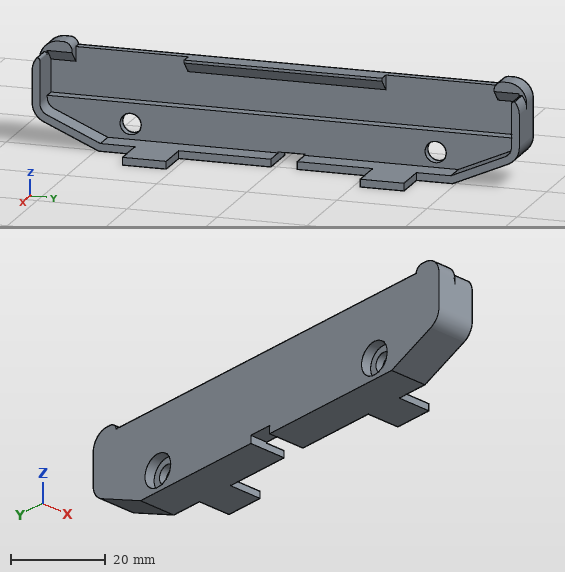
import cadquery as cq
import math

length = 108.2
height = 21.9
plate_thickness = 4.5
body_depth = 9.5
total_depth = 18.0
half_length = length / 2

corner_radius = 4.3
plate_top = 20.2
ear_flat_width = 1.0
ear_inner_radius = 2.0
flat_bottom_half = 39.3
slope_top = 6.5

rim_wall = 1.7
rim_round_start = 16.5
rim_top = 19.3
rim_edge_round = 0.5

tab_width = 9.7
tab_offset = 26.4

notch_width = 5.8
notch_height = 2.0
notch_offset = 1.8

hole_offset = 33.9
hole_height = 5.1
hole_diameter = 4.7
counterbore_diameter = 8.0
counterbore_depth = 2.6

recess_web = 2.0
recess_inner = 22.0
recess_floor = 9.7
lip_thickness = 0.6

ear_flat_end = half_length - corner_radius - ear_flat_width
ear_drop = height - plate_top
ear_inner_end = ear_flat_end - math.sqrt(ear_inner_radius**2 - (ear_inner_radius - ear_drop) ** 2)


def block(x_range, y_range, z_range):
    """Box spanning the given coordinate ranges."""
    sizes = [high - low for low, high in (x_range, y_range, z_range)]
    corner = (x_range[0], y_range[0], z_range[0])
    return cq.Workplane("XY").box(*sizes, centered=False).translate(corner)


def lower_body(depth, top):
    """Full-length prism with sloped lower ends and rounded lower corners."""
    outline = [
        (-half_length, top),
        (-half_length, slope_top),
        (-flat_bottom_half, 0),
        (flat_bottom_half, 0),
        (half_length, slope_top),
        (half_length, top),
    ]
    body = cq.Workplane("YZ").polyline(outline).close().extrude(depth)
    for side in (-1, 1):
        corner = cq.selectors.NearestToPointSelector((depth / 2, side * half_length, slope_top))
        body = body.edges(corner).fillet(corner_radius)
    return body


def ear():
    """Rounded ear at the upper +Y corner of the plate."""
    round_center_y = half_length - corner_radius
    round_center_z = height - corner_radius
    diagonal = corner_radius * math.sqrt(0.5)
    half_angle = math.acos((ear_inner_radius - ear_drop) / ear_inner_radius) / 2
    inner_mid = (
        ear_flat_end - ear_inner_radius * math.sin(half_angle),
        height - ear_inner_radius * (1 - math.cos(half_angle)),
    )
    return (
        cq.Workplane("YZ")
        .moveTo(ear_inner_end, round_center_z)
        .lineTo(half_length, round_center_z)
        .threePointArc(
            (round_center_y + diagonal, round_center_z + diagonal), (round_center_y, height)
        )
        .lineTo(ear_flat_end, height)
        .threePointArc(inner_mid, (ear_inner_end, plate_top))
        .close()
        .extrude(plate_thickness)
    )


def plate():
    """Front plate with an ear at each upper corner."""
    body = lower_body(plate_thickness, height - corner_radius)
    body = body.union(
        block((0, plate_thickness), (-ear_inner_end, ear_inner_end), (slope_top, plate_top))
    )
    return body.union(ear()).union(ear().mirror("XZ"))


def rim():
    """Thin open-topped wall whose upper ends curve inward to a narrow edge."""
    outer = lower_body(body_depth, rim_round_start)
    arc_center_y = half_length - corner_radius
    rise = rim_top - rim_round_start
    end_angle = math.asin(rise / corner_radius)
    arc_points = [
        (
            arc_center_y + corner_radius * math.cos(angle),
            rim_round_start + corner_radius * math.sin(angle),
        )
        for angle in (end_angle / 2, end_angle)
    ]
    tip = (
        cq.Workplane("YZ")
        .moveTo(half_length - rim_wall, rim_round_start)
        .lineTo(half_length, rim_round_start)
        .threePointArc(*arc_points)
        .lineTo(half_length - rim_wall + rim_edge_round, rim_top)
        .radiusArc((half_length - rim_wall, rim_top - rim_edge_round), -rim_edge_round)
        .close()
        .extrude(body_depth)
    )
    open_body = outer.faces(">Z or <X or >X").shell(-rim_wall)
    return open_body.union(tip).union(tip.mirror("XZ"))


def tab(center_y):
    """Flat tab standing out from the rim at floor level."""
    y_range = (center_y - tab_width / 2, center_y + tab_width / 2)
    return block((plate_thickness, total_depth), y_range, (0, rim_wall))


def recess():
    """Cutter for the +Y recess in the back of the plate."""
    return block((recess_web, plate_thickness), (recess_inner, ear_inner_end), (recess_floor, height))


def groove():
    """Cutter for the groove under the lip and the ears, along the back of the plate."""
    lip_bottom = plate_top - lip_thickness
    groove_half = half_length - rim_wall
    profile = [
        (recess_web, recess_floor),
        (plate_thickness, recess_floor),
        (plate_thickness, lip_bottom),
        (recess_web, lip_bottom - (plate_thickness - recess_web)),
    ]
    return cq.Workplane("XZ").polyline(profile).close().extrude(groove_half, both=True)


def screw_hole(center_y):
    """Cutter for a hole counterbored from the front of the plate."""
    face = cq.Workplane("YZ").center(center_y, hole_height)
    bore = face.circle(hole_diameter / 2).extrude(plate_thickness)
    return bore.union(face.circle(counterbore_diameter / 2).extrude(counterbore_depth))


result = plate().cut(groove()).cut(recess()).cut(recess().mirror("XZ"))
behind_plate = block((plate_thickness, body_depth), (-half_length, half_length), (0, height))
result = result.union(rim().intersect(behind_plate))
for side in (-1, 1):
    result = result.union(tab(side * tab_offset))
    result = result.cut(screw_hole(side * hole_offset))
notch_range = (notch_offset - notch_width / 2, notch_offset + notch_width / 2)
result = result.cut(block((0, body_depth), notch_range, (0, notch_height)))